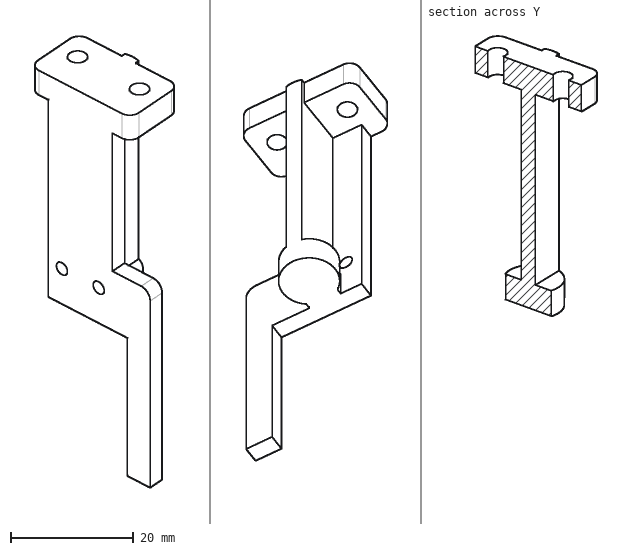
import cadquery as cq
import math

total_height = 73.0
body_bottom = 28.0
shoulder_top = 40.0

flange_length = 22.0
flange_depth = 12.0
flange_thickness = 5.0
mount_hole_diameter = 3.3
mount_hole_spacing = 13.5
mount_hole_y = 7.0

plate_thickness = 3.0
web_width = 14.0
arm_right = 26.2
arm_width = 5.0
corner_radius = 2.0

pin_hole_diameter = 2.4
pin_hole_spacing = 8.0
pin_hole_z = 35.2

boss_radius = 5.0
boss_center_y = 8.0
boss_height = 4.8
boss_neck_width = 6.0
rib_width = 3.0

center_x = flange_length / 2
web_left = center_x - web_width / 2
web_right = center_x + web_width / 2
arm_left = arm_right - arm_width
boss_rear_y = boss_center_y + boss_radius
body_height = total_height - body_bottom


def block(x_min, x_max, y_min, y_max, z_min, z_max):
    """Axis-aligned box given by its limits."""
    size = (x_max - x_min, y_max - y_min, z_max - z_min)
    return cq.Workplane("XY").box(*size, centered=False).translate((x_min, y_min, z_min))


def make_flange():
    """Rounded rectangular flange flush with the top."""
    flange = block(0, flange_length, 0, flange_depth, total_height - flange_thickness, total_height)
    return flange.edges("|Z").fillet(corner_radius)


def make_front_plate():
    """Flat plate that steps sideways from the web to the arm."""
    web = block(web_left, web_right, 0, plate_thickness, body_bottom, total_height)
    shoulder = block(web_left, arm_right, 0, plate_thickness, body_bottom, shoulder_top)
    arm = block(arm_left, arm_right, 0, plate_thickness, 0, shoulder_top)
    lower_part = shoulder.union(arm).clean()
    lower_part = lower_part.edges("|Y and >X and >Z").fillet(corner_radius)
    return web.union(lower_part)


def make_boss():
    """Round boss joined to the plate by a straight neck."""
    half_neck = boss_neck_width / 2
    neck_rear_y = boss_center_y - math.sqrt(boss_radius**2 - half_neck**2)
    return (
        cq.Workplane("XY", origin=(center_x, 0, body_bottom))
        .moveTo(-half_neck, plate_thickness)
        .lineTo(-half_neck, neck_rear_y)
        .threePointArc((0, boss_rear_y), (half_neck, neck_rear_y))
        .lineTo(half_neck, plate_thickness)
        .close()
        .extrude(boss_height)
    )


def make_rib():
    """Rib from boss to top whose rear face continues the curve of the boss."""
    half_rib = rib_width / 2
    rib_edge_y = boss_center_y + math.sqrt(boss_radius**2 - half_rib**2)
    return (
        cq.Workplane("XY", origin=(center_x, 0, body_bottom + boss_height))
        .moveTo(-half_rib, plate_thickness)
        .lineTo(-half_rib, rib_edge_y)
        .threePointArc((0, boss_rear_y), (half_rib, rib_edge_y))
        .lineTo(half_rib, plate_thickness)
        .close()
        .extrude(body_height - boss_height)
    )


def make_mount_holes():
    """Vertical holes through the flange."""
    base = cq.Workplane("XY", origin=(center_x, mount_hole_y, total_height))
    centers = base.rarray(mount_hole_spacing, 1, 2, 1)
    return centers.circle(mount_hole_diameter / 2).extrude(-flange_thickness)


def make_pin_holes():
    """Front-to-back holes through the web."""
    base = cq.Workplane("XZ", origin=(center_x, 0, pin_hole_z))
    centers = base.rarray(pin_hole_spacing, 1, 2, 1)
    return centers.circle(pin_hole_diameter / 2).extrude(-plate_thickness)


body = make_flange().union(make_front_plate()).union(make_boss()).union(make_rib())
result = body.cut(make_mount_holes()).cut(make_pin_holes()).clean()